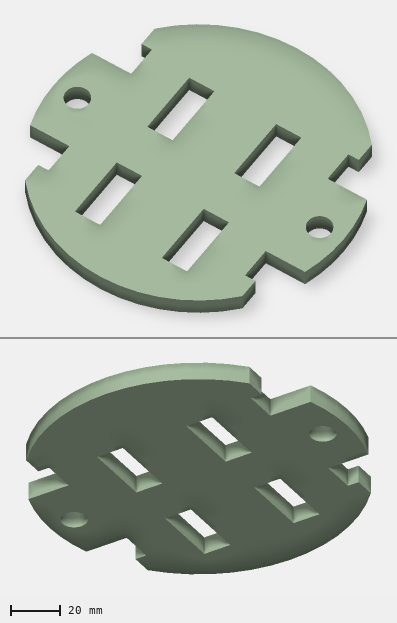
import cadquery as cq

disc_diameter = 140.0
thickness = 8.0

flat_x = 52.5
notch_floor_x = 47.5
notch_outer_y = 37.0
tab_half_width = 22.1

hole_diameter = 11.0
hole_x = 58.5

window_width = 12.2
window_length = 30.0
window_x = 21.0
upper_window_y = 18.5
lower_window_y = -33.3


def corner_block(x_start, y_start, y_end):
    """Block from x_start to the disc rim, between two Y positions."""
    block_width = disc_diameter / 2 - x_start
    block_length = y_end - y_start
    return (
        cq.Workplane("XY")
        .center(x_start + block_width / 2, y_start + block_length / 2)
        .rect(block_width, block_length)
        .extrude(thickness)
    )


def corner_cutout():
    """Material removed in the +X +Y quarter: flat side and notch."""
    rim_y = disc_diameter / 2
    flat_side = corner_block(flat_x, tab_half_width, rim_y)
    notch = corner_block(notch_floor_x, tab_half_width, notch_outer_y)
    return flat_side.union(notch)


result = cq.Workplane("XY").circle(disc_diameter / 2).extrude(thickness)

right_cutouts = corner_cutout().union(corner_cutout().mirror("XZ"))
result = result.cut(right_cutouts).cut(right_cutouts.mirror("YZ"))

tab_holes = (
    cq.Workplane("XY")
    .pushPoints([(-hole_x, 0), (hole_x, 0)])
    .circle(hole_diameter / 2)
    .extrude(thickness)
)
result = result.cut(tab_holes)

window_centres = [(x, y) for x in (-window_x, window_x) for y in (lower_window_y, upper_window_y)]
windows = (
    cq.Workplane("XY")
    .pushPoints(window_centres)
    .rect(window_width, window_length)
    .extrude(thickness)
)
result = result.cut(windows)